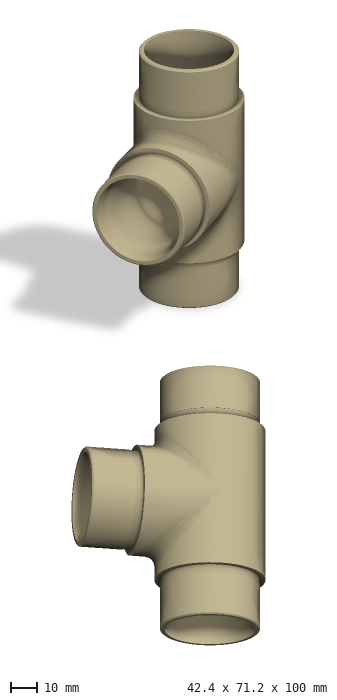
import cadquery as cq
import math

body_diameter = 42.4
spigot_diameter = 38.3
neck_diameter = 37.9
bore_diameter = 34.4

body_reach = 30
neck_length = 3
spigot_reach = 50
neck_end = body_reach + neck_length

tip_chamfer = 0.5
crotch_radius = 4

web_rise = 5.1
web_thickness = 0.2

body_radius = body_diameter / 2
bore_radius = bore_diameter / 2

up = (0, 0, 1)
down = (0, 0, -1)
branch = (0, -1, 0)
arm_directions = [up, down, branch]


def arm_plane(direction):
    """Plane at the centre of the tee that faces along one arm."""
    return cq.Plane(origin=(0, 0, 0), xDir=(1, 0, 0), normal=direction)


def arm_cylinder(direction, diameter, reach):
    return cq.Workplane(arm_plane(direction)).circle(diameter / 2).extrude(reach)


def arm_outside(direction):
    """Body, narrow neck and chamfered spigot of one arm, not yet bored."""
    body = arm_cylinder(direction, body_diameter, body_reach)
    neck = arm_cylinder(direction, neck_diameter, neck_end)
    tip = cq.selectors.DirectionMinMaxSelector(cq.Vector(*direction), True)
    spigot = (
        cq.Workplane(arm_plane(direction))
        .workplane(offset=neck_end)
        .circle(spigot_diameter / 2)
        .extrude(spigot_reach - neck_end)
        .faces(tip)
        .chamfer(tip_chamfer)
    )
    return body.union(neck).union(spigot)


def tee_outside():
    """Three arms joined, with the crotch between run and branch rounded."""
    tee = cq.Workplane()
    for direction in arm_directions:
        tee = tee.union(arm_outside(direction))

    crotch_zone = cq.selectors.BoxSelector(
        (-body_diameter, -body_radius, -body_radius),
        (body_diameter, 0, body_radius),
    )
    return tee.edges("%ELLIPSE").edges(crotch_zone).fillet(crotch_radius)


def bores():
    """Three equal bores that meet at the centre."""
    passage = cq.Workplane()
    for direction in arm_directions:
        passage = passage.union(arm_cylinder(direction, bore_diameter, spigot_reach))
    return passage


def web():
    """Thin plate from a slanted top edge down to the lower inside crotch."""
    edge_left = cq.Vector(-math.sqrt(bore_radius**2 - web_rise**2), -web_rise, web_rise)
    edge_right = cq.Vector(bore_radius, 0, 0)
    lower_crotch = cq.Vector(0, -bore_radius, -bore_radius)

    along_edge = edge_right - edge_left
    web_normal = (lower_crotch - edge_left).cross(along_edge)
    middle = (edge_left + edge_right) / 2
    plate_plane = cq.Plane(origin=middle, xDir=along_edge, normal=web_normal)

    plate_size = body_diameter
    return (
        cq.Workplane(plate_plane)
        .center(0, -plate_size / 2)
        .rect(plate_size, plate_size)
        .extrude(-web_thickness)
    )


result = tee_outside().cut(bores().cut(web()))